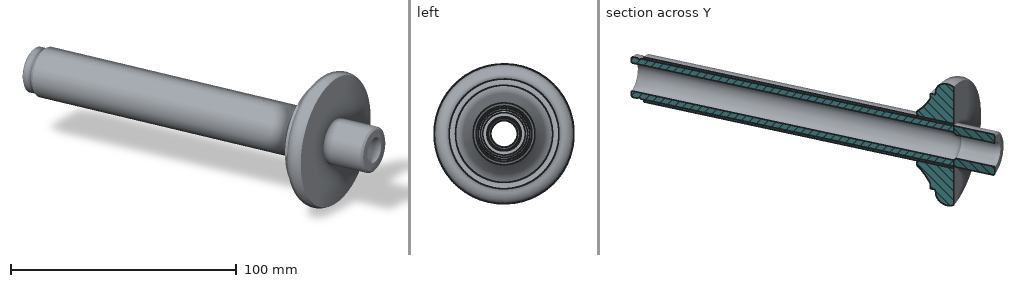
import cadquery as cq
import math


TOTAL_LENGTH = 176.0
TAIL_LENGTH = 19.9
TIP_X = TAIL_LENGTH - TOTAL_LENGTH
WALL_X = 0.0
TAIL_X = TAIL_LENGTH

GROOVE_X = TIP_X + 4.0
SLEEVE_X = TIP_X + 6.0

PIPE_RADIUS = 10.4
END_CHAMFER_LENGTH = 0.8
END_CHAMFER_DEPTH = 1.0
GROOVE_HALF_WIDTH = 1.0
GROOVE_DEPTH = 0.6
BORE_RADIUS = 7.0
MOUTH_CHAMFER = 0.6
TAIL_RADIUS = 10.5
TAIL_BORE_RADIUS = 5.85
BORE_CONE_LENGTH = BORE_RADIUS - TAIL_BORE_RADIUS

SLEEVE_RADIUS = 11.5
SLEEVE_CHAMFER = 0.2

FLANGE_THICKNESS = 18.0
FLANGE_X = WALL_X - FLANGE_THICKNESS
FLANGE_RADIUS = 31.0
RIM_THICKNESS = 9.0
RIM_X = WALL_X - RIM_THICKNESS
RIM_ROUND_RADIUS = 5.8
STEP_X = RIM_X - 2.6
STEP_RADIUS = 24.3
NOSE_RADIUS = 14.2
NOSE_CHAMFER = 0.5
HOLLOW_MID_X = FLANGE_X + 4.0
HOLLOW_MID_RADIUS = 17.8
HOLLOW_END_RADIUS = 21.5
COUNTERSINK = 0.85


def turn(profile):
    """Revolve a closed profile of (x, radius) points about the X axis."""
    return profile.close().revolve(360, (0, 0, 0), (1, 0, 0))


def make_pipe():
    """Inner pipe from the free end to the wall face, with a V groove near its chamfered end."""
    return turn(cq.Workplane("XY").polyline([
        (TIP_X, BORE_RADIUS + MOUTH_CHAMFER),
        (TIP_X, PIPE_RADIUS - END_CHAMFER_DEPTH),
        (TIP_X + END_CHAMFER_LENGTH, PIPE_RADIUS),
        (GROOVE_X - GROOVE_HALF_WIDTH, PIPE_RADIUS),
        (GROOVE_X, PIPE_RADIUS - GROOVE_DEPTH),
        (GROOVE_X + GROOVE_HALF_WIDTH, PIPE_RADIUS),
        (WALL_X, PIPE_RADIUS),
        (WALL_X, BORE_RADIUS),
        (TIP_X + MOUTH_CHAMFER, BORE_RADIUS),
    ]))


def make_tail_nipple():
    """Nipple behind the wall face, whose bore narrows through a short cone."""
    return turn(cq.Workplane("XY").polyline([
        (WALL_X, BORE_RADIUS),
        (WALL_X, TAIL_RADIUS),
        (TAIL_X - END_CHAMFER_LENGTH, TAIL_RADIUS),
        (TAIL_X, TAIL_RADIUS - END_CHAMFER_DEPTH),
        (TAIL_X, TAIL_BORE_RADIUS),
        (WALL_X + BORE_CONE_LENGTH, TAIL_BORE_RADIUS),
    ]))


def make_sleeve():
    """Plain tube over the pipe, ending flush with the wall face of the flange."""
    return turn(cq.Workplane("XY").polyline([
        (SLEEVE_X, PIPE_RADIUS),
        (SLEEVE_X, SLEEVE_RADIUS - SLEEVE_CHAMFER),
        (SLEEVE_X + SLEEVE_CHAMFER, SLEEVE_RADIUS),
        (WALL_X, SLEEVE_RADIUS),
        (WALL_X, PIPE_RADIUS),
    ]))


def make_flange():
    """Flange with a hollow-curved nose, a step and a rounded rim."""
    round_x = RIM_X + RIM_ROUND_RADIUS
    round_center_radius = FLANGE_RADIUS - RIM_ROUND_RADIUS
    wall_edge_height = math.sqrt(RIM_ROUND_RADIUS**2 - (WALL_X - round_x) ** 2)
    return turn(
        cq.Workplane("XY")
        .moveTo(FLANGE_X, SLEEVE_RADIUS + COUNTERSINK)
        .lineTo(FLANGE_X, NOSE_RADIUS - NOSE_CHAMFER)
        .lineTo(FLANGE_X + NOSE_CHAMFER, NOSE_RADIUS)
        .threePointArc((HOLLOW_MID_X, HOLLOW_MID_RADIUS), (STEP_X, HOLLOW_END_RADIUS))
        .lineTo(STEP_X, STEP_RADIUS)
        .lineTo(RIM_X, STEP_RADIUS)
        .lineTo(RIM_X, round_center_radius)
        .threePointArc((round_x, FLANGE_RADIUS), (WALL_X, round_center_radius + wall_edge_height))
        .lineTo(WALL_X, SLEEVE_RADIUS)
        .lineTo(FLANGE_X + COUNTERSINK, SLEEVE_RADIUS)
    )


pipe = make_pipe()
tail_nipple = make_tail_nipple()
sleeve = make_sleeve()
flange = make_flange()

result = cq.Compound.makeCompound([pipe.val(), tail_nipple.val(), sleeve.val(), flange.val()])